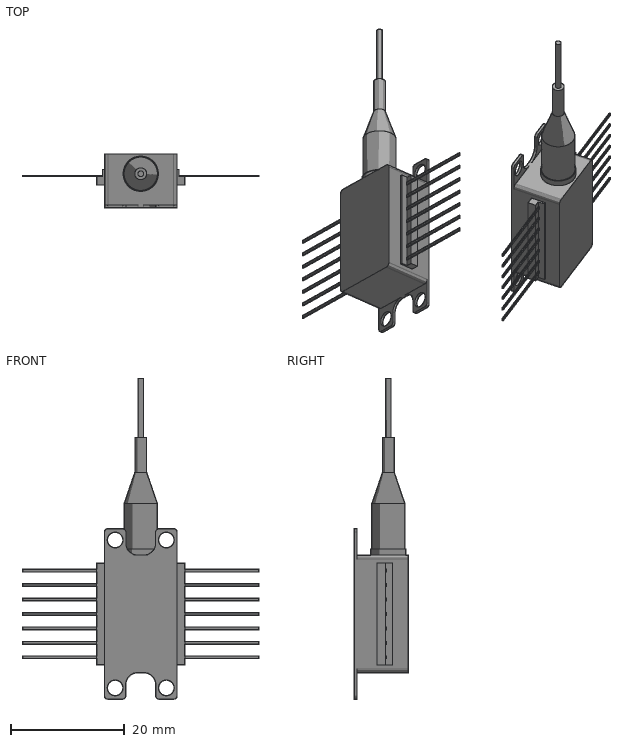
import cadquery as cq


PLATE_WIDTH = 12.8
PLATE_HEIGHT = 30.0
PLATE_THICKNESS = 0.5
PLATE_CORNER_RADIUS = 0.6
HOLE_DIAMETER = 2.7
HOLE_SPACING_X = 9.0
HOLE_SPACING_Z = 26.0
NOTCH_WIDTH = 5.25
NOTCH_CORNER_RADIUS = 2.1

PACKAGE_DEPTH = 9.5
BODY_HEIGHT = 20.7
BODY_CORNER_RADIUS = 0.65
BODY_TOP_Z = BODY_HEIGHT / 2

BAR_HEIGHT = 17.9
LEDGE_SPAN = 15.55
LEDGE_FRONT_Y = 4.0
LEDGE_BACK_Y = 5.5
BACKING_SPAN = 13.5
BACKING_BACK_Y = 6.75

PIN_SPAN = 41.56
PIN_COUNT = 7
PIN_PITCH = 2.54
PIN_WIDTH = 0.5
PIN_THICKNESS = 0.2

FIBRE_AXIS_Y = 6.0
COLLAR_RADIUS = 3.1
COLLAR_HEIGHT = 1.1
BOOT_RADIUS = 2.93
SLEEVE_RADIUS = 1.05
FIBRE_RADIUS = 0.5
OVERALL_HEIGHT = 56.4
FIBRE_LENGTH = 10.35
SLEEVE_LENGTH = 6.15
CONE_LENGTH = 5.5
FIBRE_TOP_Z = OVERALL_HEIGHT - PLATE_HEIGHT / 2
SLEEVE_TOP_Z = FIBRE_TOP_Z - FIBRE_LENGTH
CONE_TOP_Z = SLEEVE_TOP_Z - SLEEVE_LENGTH
CONE_BASE_Z = CONE_TOP_Z - CONE_LENGTH
COLLAR_TOP_Z = BODY_TOP_Z + COLLAR_HEIGHT


def block(width, height, front_y, back_y, centre_z=0.0):
    """Box centred on X = 0, running from front_y to back_y."""
    depth = back_y - front_y
    return cq.Workplane("XY").box(width, depth, height).translate((0, front_y + depth / 2, centre_z))


def make_notches():
    """Rounded cutters for both plate ends; each reaches just as deep as the end of the body."""
    cutter_height = PLATE_HEIGHT - 2 * BODY_TOP_Z
    cutters = cq.Workplane("XY")
    for side in (-1, 1):
        cutter = block(NOTCH_WIDTH, cutter_height, 0, PLATE_THICKNESS, side * PLATE_HEIGHT / 2)
        cutters = cutters.add(cutter.edges("|Y").fillet(NOTCH_CORNER_RADIUS))
    return cutters.combine()


def make_plate():
    plate = block(PLATE_WIDTH, PLATE_HEIGHT, 0, PLATE_THICKNESS).cut(make_notches())
    plate = plate.faces("<Z or >Z").edges("|Y").fillet(PLATE_CORNER_RADIUS)
    holes = (
        cq.Workplane("XZ")
        .rect(HOLE_SPACING_X, HOLE_SPACING_Z, forConstruction=True)
        .vertices()
        .circle(HOLE_DIAMETER / 2)
        .extrude(-PLATE_THICKNESS)
    )
    return plate.cut(holes)


def make_body():
    body = block(PLATE_WIDTH, BODY_HEIGHT, PLATE_THICKNESS, PACKAGE_DEPTH)
    return body.edges("|Y").fillet(BODY_CORNER_RADIUS)


def make_feedthrough():
    ledge = block(LEDGE_SPAN, BAR_HEIGHT, LEDGE_FRONT_Y, LEDGE_BACK_Y)
    backing = block(BACKING_SPAN, BAR_HEIGHT, LEDGE_BACK_Y, BACKING_BACK_Y)
    return ledge.union(backing)


def make_pins():
    """Each strip spans the package and forms one pin on either side."""
    pins = cq.Workplane("XY")
    for index in range(PIN_COUNT):
        pin_z = (index - (PIN_COUNT - 1) / 2) * PIN_PITCH
        pins = pins.add(block(PIN_SPAN, PIN_WIDTH, LEDGE_BACK_Y, LEDGE_BACK_Y + PIN_THICKNESS, pin_z))
    return pins.combine()


def make_fibre_outlet():
    """Half profile in radius and Z, revolved about the fibre axis; it is rooted inside the body."""
    return (
        cq.Workplane("XZ")
        .moveTo(0, 0)
        .lineTo(COLLAR_RADIUS, 0)
        .lineTo(COLLAR_RADIUS, COLLAR_TOP_Z)
        .lineTo(BOOT_RADIUS, COLLAR_TOP_Z)
        .lineTo(BOOT_RADIUS, CONE_BASE_Z)
        .lineTo(SLEEVE_RADIUS, CONE_TOP_Z)
        .lineTo(SLEEVE_RADIUS, SLEEVE_TOP_Z)
        .lineTo(FIBRE_RADIUS, SLEEVE_TOP_Z)
        .lineTo(FIBRE_RADIUS, FIBRE_TOP_Z)
        .lineTo(0, FIBRE_TOP_Z)
        .close()
        .revolve(360, (0, 0, 0), (0, 1, 0))
        .translate((0, FIBRE_AXIS_Y, 0))
    )


result = (
    make_plate()
    .union(make_body())
    .union(make_feedthrough())
    .union(make_pins())
    .union(make_fibre_outlet())
)